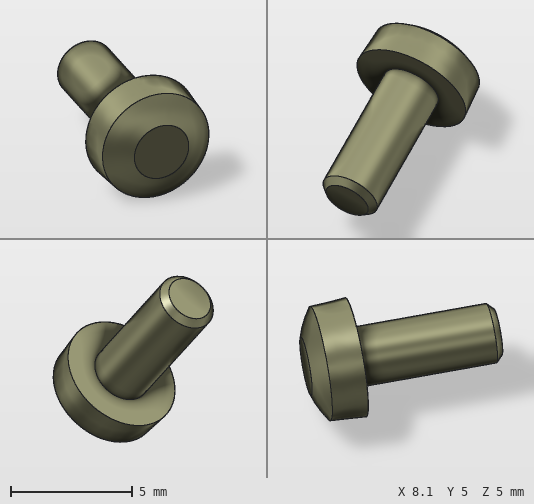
import cadquery as cq
import math

shank_length = 6.0
shank_radius = 2.5 / 2
tip_chamfer = 0.28

head_height = 2.1
head_base_radius = 5.0 / 2
rim_height = 1.5
rim_radius = 4.8 / 2
crown_flat_radius = 2.45 / 2


def crown_midpoint():
    """Middle point (x, radius) of the crown arc, whose centre lies on the screw axis."""
    center_x = (head_height**2 + crown_flat_radius**2 - rim_height**2 - rim_radius**2) / (
        2 * (head_height - rim_height)
    )
    crown_radius = math.hypot(rim_height - center_x, rim_radius)
    rim_angle = math.atan2(rim_radius, rim_height - center_x)
    flat_angle = math.atan2(crown_flat_radius, head_height - center_x)
    mid_angle = (rim_angle + flat_angle) / 2
    return (
        center_x + crown_radius * math.cos(mid_angle),
        crown_radius * math.sin(mid_angle),
    )


def screw_profile():
    """Half section of the screw: X along the axis, Z as the radius."""
    return (
        cq.Workplane("XZ")
        .moveTo(-shank_length, 0)
        .lineTo(-shank_length, shank_radius - tip_chamfer)
        .lineTo(-shank_length + tip_chamfer, shank_radius)
        .lineTo(0, shank_radius)
        .lineTo(0, head_base_radius)
        .lineTo(rim_height, rim_radius)
        .threePointArc(crown_midpoint(), (head_height, crown_flat_radius))
        .lineTo(head_height, 0)
        .close()
    )


result = screw_profile().revolve(360, (0, 0, 0), (1, 0, 0))